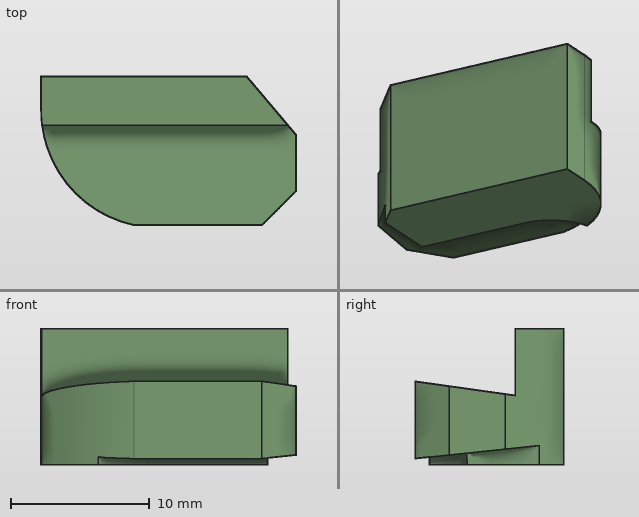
import cadquery as cq
import math

length = 18.35
width = 10.7
height = 9.8

side_straight = 2.4
corner_radius = 8.5
front_chamfer = 2.45
back_chamfer_x = 3.55
back_chamfer_y = 4.2

wall_thickness = 3.5
ledge_back_height = 5.0
ledge_angle = 8.0

undercut_front_height = 0.45
undercut_angle = 6.0
undercut_arc_start_x = 7.68
undercut_radius = 3.7
foot_right_x = 16.3

overcut = 5.0


def plan_prism():
    """Full-height prism of the plan outline."""
    arc_y = width - side_straight
    arc_center_x = corner_radius
    arc_end_x = arc_center_x - math.sqrt(corner_radius**2 - arc_y**2)
    half_sweep = math.asin(arc_y / corner_radius) / 2
    arc_mid = (
        arc_center_x - corner_radius * math.cos(half_sweep),
        arc_y - corner_radius * math.sin(half_sweep),
    )
    return (
        cq.Workplane("XY")
        .moveTo(0, width)
        .lineTo(0, arc_y)
        .threePointArc(arc_mid, (arc_end_x, 0))
        .lineTo(length - front_chamfer, 0)
        .lineTo(length, front_chamfer)
        .lineTo(length, width - back_chamfer_y)
        .lineTo(length - back_chamfer_x, width)
        .close()
        .extrude(height)
    )


def ledge_cutter():
    """Space above the sloping ledge, in front of the back wall."""
    wall_front_y = width - wall_thickness
    front_y = -overcut
    ledge_rise = (wall_front_y - front_y) * math.tan(math.radians(ledge_angle))
    top_z = height + overcut
    return (
        cq.Workplane("YZ")
        .moveTo(wall_front_y, ledge_back_height)
        .lineTo(front_y, ledge_back_height + ledge_rise)
        .lineTo(front_y, top_z)
        .lineTo(wall_front_y, top_z)
        .close()
        .extrude(length)
    )


def undercut_cutter():
    """Space below the tilted undercut face; its side faces are square to that face."""
    tilt = math.radians(undercut_angle)
    tilted_plane = cq.Plane(
        origin=(0, 0, undercut_front_height),
        xDir=(1, 0, 0),
        normal=(0, -math.sin(tilt), math.cos(tilt)),
    )
    arc_left_x = undercut_arc_start_x - undercut_radius
    arc_reach = undercut_radius * math.sqrt(0.5)
    arc_mid = (undercut_arc_start_x - arc_reach, arc_reach)
    right_x = length + overcut
    back_y = width + overcut
    return (
        cq.Workplane(tilted_plane)
        .moveTo(arc_left_x, -overcut)
        .lineTo(arc_left_x, 0)
        .threePointArc(arc_mid, (undercut_arc_start_x, undercut_radius))
        .lineTo(foot_right_x, undercut_radius)
        .lineTo(foot_right_x, back_y)
        .lineTo(right_x, back_y)
        .lineTo(right_x, -overcut)
        .close()
        .extrude(-overcut)
    )


result = plan_prism().cut(ledge_cutter()).cut(undercut_cutter())